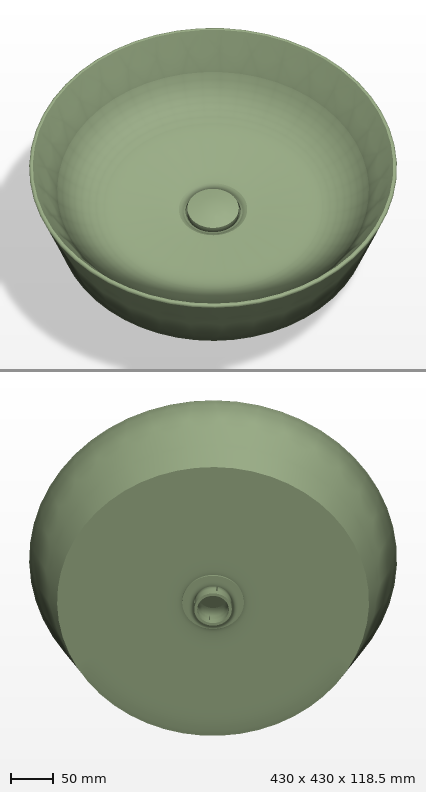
import cadquery as cq
import math

rim_radius = 215.0
base_radius = 182.5
bowl_height = 100.0
rim_round = 2.5
mouth_radius = 210.5
wall_foot_radius = 182.5
wall_foot_z = 57.5
floor_radius = 127.5
floor_z = 29.2
outlet_radius = 40.0
outlet_z = 23.5

head_radius = 34.5
head_top_z = 20.0
head_bottom_z = 13.0
cup_radius = 32.2
cup_floor_z = 16.5
tail_radius = 22.0
tail_bottom_z = -18.5
bore_radius = 18.5
flange_radius = 36.0
flange_thickness = 2.0
slot_width = 1.0
slot_bottom_z = -12.0
slot_count = 4
first_slot_angle = 45.0

plug_radius = 30.0
plug_edge_z = 25.5
plug_crown_z = 29.5


def cylinder(radius, bottom, top):
    return cq.Workplane("XY").workplane(offset=bottom).circle(radius).extrude(top - bottom)


def revolve_profile(profile):
    """Turn an XZ outline a full turn about the Z axis."""
    return profile.close().revolve(360, (0, 0, 0), (0, 1, 0))


def make_bowl():
    floor_angle = math.atan2(floor_z - outlet_z, floor_radius - outlet_radius)
    corner_run = wall_foot_radius - floor_radius
    corner_rise = wall_foot_z - floor_z
    chord_angle = math.atan2(corner_rise, corner_run)
    chord = math.hypot(corner_run, corner_rise)
    corner_radius = chord / (2 * math.sin(chord_angle - floor_angle))
    return revolve_profile(
        cq.Workplane("XZ")
        .moveTo(tail_radius, 0)
        .lineTo(base_radius, 0)
        .lineTo(rim_radius, bowl_height - rim_round)
        .radiusArc((rim_radius - rim_round, bowl_height), -rim_round)
        .lineTo(mouth_radius, bowl_height)
        .lineTo(wall_foot_radius, wall_foot_z)
        .radiusArc((floor_radius, floor_z), corner_radius)
        .lineTo(outlet_radius, outlet_z)
        .lineTo(head_radius, head_top_z)
        .lineTo(head_radius, head_bottom_z)
        .lineTo(tail_radius, head_bottom_z)
    )


def make_drain():
    drain = cylinder(tail_radius, tail_bottom_z, head_bottom_z)
    drain = drain.union(cylinder(head_radius, head_bottom_z, head_top_z))
    drain = drain.union(cylinder(flange_radius, -flange_thickness, 0))
    drain = drain.cut(cylinder(cup_radius, cup_floor_z, head_top_z))
    drain = drain.cut(cylinder(bore_radius, tail_bottom_z, cup_floor_z))
    slot_height = -flange_thickness - slot_bottom_z
    for index in range(slot_count):
        angle = first_slot_angle + index * 360 / slot_count
        slot = (
            cq.Workplane("XY")
            .box(tail_radius, slot_width, slot_height, centered=(False, True, False))
            .translate((bore_radius / 2, 0, slot_bottom_z))
            .rotate((0, 0, 0), (0, 0, 1), angle)
        )
        drain = drain.cut(slot)
    return drain


def make_plug():
    """Domed plug standing on the floor of the drain cup."""
    crown_height = plug_crown_z - plug_edge_z
    crown_radius = (plug_radius**2 + crown_height**2) / (2 * crown_height)
    return revolve_profile(
        cq.Workplane("XZ")
        .moveTo(0, cup_floor_z)
        .lineTo(plug_radius, cup_floor_z)
        .lineTo(plug_radius, plug_edge_z)
        .radiusArc((0, plug_crown_z), -crown_radius)
    )


bowl = make_bowl()
drain = make_drain()
plug = make_plug()
result = cq.Compound.makeCompound([bowl.val(), drain.val(), plug.val()])